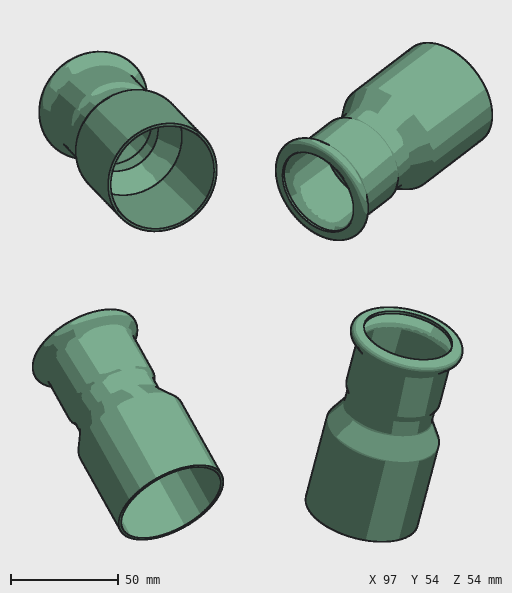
import cadquery as cq
import math

LENGTH = 97.0
SPIGOT_RADIUS = 54.0 / 2
SOCKET_RADIUS = 45.0 / 2
NECK_RADIUS = 42.0 / 2

BEAD_TUBE_RADIUS = 3.0
BEAD_CENTER_RADIUS = 23.8
BEAD_BACK_ANGLE = math.radians(45)
BEAD_ROOT_FILLET = 2.2

STEP_START = 31.8
STEP_END = 33.95
STEP_FILLET = 2.2

CONE_START = 42.4
CONE_ANGLE = math.radians(30)
CONE_FILLET = 1.9
CONE_END = CONE_START + (SPIGOT_RADIUS - NECK_RADIUS) / math.tan(CONE_ANGLE)

WALL = 1.4
POCKET_RADIUS = SOCKET_RADIUS - WALL
POCKET_DEPTH = STEP_START
THROAT_RADIUS = 18.4
SPIGOT_BORE_RADIUS = SPIGOT_RADIUS - WALL
INNER_CONE_END = CONE_END + WALL * math.tan(CONE_ANGLE / 2)
INNER_CONE_START = INNER_CONE_END - (SPIGOT_BORE_RADIUS - THROAT_RADIUS) / math.tan(CONE_ANGLE)


def revolve_about_x(profile):
    return profile.close().revolve(360, (0, 0, 0), (1, 0, 0))


def bead_point(tube_radius, angle):
    """Point on a round section about the bead center, with the angle measured from +X."""
    return (
        BEAD_TUBE_RADIUS + tube_radius * math.cos(angle),
        BEAD_CENTER_RADIUS + tube_radius * math.sin(angle),
    )


def bead_root(bead_back, cylinder_radius):
    """Point where the sloping back of the bead meets a cylinder."""
    back_x, back_radius = bead_back
    return (back_x + (back_radius - cylinder_radius) / math.tan(BEAD_BACK_ANGLE), cylinder_radius)


def fillet_ring(body, x, radius):
    """Round the circular edge centered on the axis at x."""
    ring = cq.selectors.NearestToPointSelector((x, 0, 0))
    return body.edges("%CIRCLE").edges(ring).fillet(radius)


def outer_body():
    bead_top = bead_point(BEAD_TUBE_RADIUS, math.pi / 2)
    bead_back = bead_point(BEAD_TUBE_RADIUS, BEAD_BACK_ANGLE)
    root = bead_root(bead_back, SOCKET_RADIUS)
    body = revolve_about_x(
        cq.Workplane("XY")
        .moveTo(0, 0)
        .lineTo(0, BEAD_CENTER_RADIUS)
        .threePointArc(bead_top, bead_back)
        .lineTo(*root)
        .lineTo(STEP_START, SOCKET_RADIUS)
        .lineTo(STEP_END, NECK_RADIUS)
        .lineTo(CONE_START, NECK_RADIUS)
        .lineTo(CONE_END, SPIGOT_RADIUS)
        .lineTo(LENGTH, SPIGOT_RADIUS)
        .lineTo(LENGTH, 0)
    )
    rings = [
        (root[0], BEAD_ROOT_FILLET),
        (STEP_START, STEP_FILLET),
        (STEP_END, STEP_FILLET),
        (CONE_START, CONE_FILLET),
        (CONE_END, CONE_FILLET),
    ]
    for x, fillet in rings:
        body = fillet_ring(body, x, fillet)
    return body


def bore():
    groove_tube_radius = BEAD_TUBE_RADIUS - WALL
    groove_top = bead_point(groove_tube_radius, math.pi / 2)
    groove_back = bead_point(groove_tube_radius, BEAD_BACK_ANGLE)
    root = bead_root(groove_back, POCKET_RADIUS)
    cavity = revolve_about_x(
        cq.Workplane("XY")
        .moveTo(0, 0)
        .lineTo(0, POCKET_RADIUS)
        .lineTo(WALL, POCKET_RADIUS)
        .lineTo(WALL, BEAD_CENTER_RADIUS)
        .threePointArc(groove_top, groove_back)
        .lineTo(*root)
        .lineTo(POCKET_DEPTH, POCKET_RADIUS)
        .lineTo(POCKET_DEPTH, THROAT_RADIUS)
        .lineTo(INNER_CONE_START, THROAT_RADIUS)
        .lineTo(INNER_CONE_END, SPIGOT_BORE_RADIUS)
        .lineTo(LENGTH, SPIGOT_BORE_RADIUS)
        .lineTo(LENGTH, 0)
    )
    return fillet_ring(cavity, root[0], BEAD_ROOT_FILLET + WALL)


result = outer_body().cut(bore())